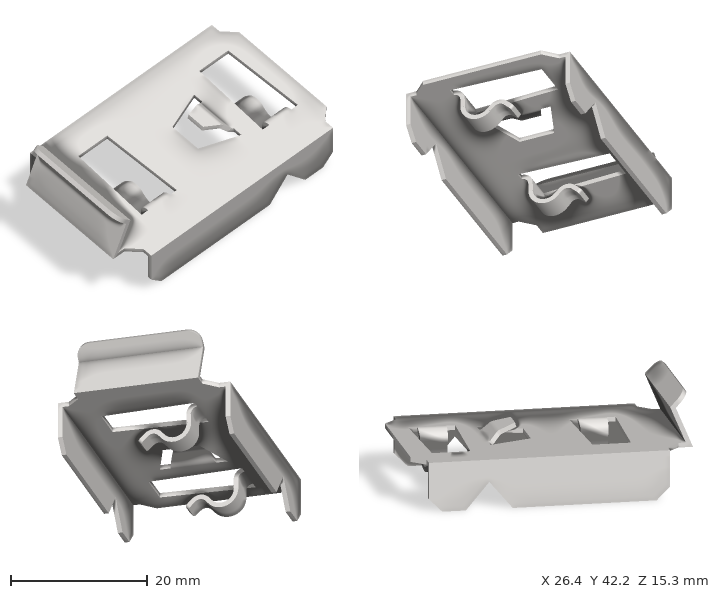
import cadquery as cq
import math


thickness = 0.7

overall_length = 42.2
plate_width = 26.4
leg_length = 36.0
leg_height = 7.5
leg_chamfer = 2.0
notch_y = 9.0
notch_half_width = 3.5
notch_depth = 4.15

tab_width = 19.0
tab_taper = 2.0
back_tab_length = 2.03
front_tab_length = overall_length - leg_length - back_tab_length

lip_wall_angle = 67
lip_wall_length = 6.6
lip_flare_angle = 46
lip_flare_length = 2.75
lip_corner_radius = 2.0

finger_positions = (13.65, -10.35)
window_left = -7.98
window_right = 6.5
window_left_height = 5.75
window_right_height = 6.95
finger_root_width = 4.35
finger_taper = 0.1
finger_tip_corner_radius = 0.42
finger_root_radius = 1.35
finger_contact_radius = 2.32
finger_tip_bend_radius = 1.48
finger_drop_length = 1.35
finger_link_length = 0.8
finger_tip_length = 1.45
finger_root_turn = 90
finger_contact_turn = 137
finger_tip_turn = 90

latch_root_y = 7.18
latch_window_length = 6.45
latch_window_root_width = 10.3
latch_window_tip_width = 5.57
latch_root_width = 6.95
latch_taper = 0.74
latch_bend_radius = 0.85
latch_rise_length = 1.45
latch_tip_length = 2.57
latch_rise_turn = 46
latch_tip_turn = 30


def bend(radius, turn):
    """Bend piece of a strip, from its mid-thickness radius and turn."""
    return radius * math.radians(abs(turn)), turn


finger_pieces = [
    bend(finger_root_radius, -finger_root_turn),
    (finger_drop_length, 0),
    bend(finger_contact_radius, finger_contact_turn),
    (finger_link_length, 0),
    bend(finger_tip_bend_radius, -finger_tip_turn),
    (finger_tip_length, 0),
]
latch_pieces = [
    bend(latch_bend_radius, latch_rise_turn),
    (latch_rise_length, 0),
    bend(latch_bend_radius, -latch_tip_turn),
    (latch_tip_length, 0),
]


def piece_point(length, turn, fraction, offset):
    """X, Z of a point partway along a piece that starts at the origin along +X.

    `offset` is the height above the mid-thickness line.
    """
    if turn == 0:
        return length * fraction, offset
    radius = length / math.radians(turn)
    angle = math.radians(turn * fraction)
    return (radius - offset) * math.sin(angle), radius - (radius - offset) * math.cos(angle)


def strip_piece(length, turn, start_width, end_width):
    """Straight or bent piece of a strip, tapered evenly along its chord."""
    half = thickness / 2

    def side(offset, fractions):
        return [piece_point(length, turn, fraction, offset) for fraction in fractions]

    top_start, top_middle, top_end = side(half, (0, 0.5, 1))
    bottom_end, bottom_middle, bottom_start = side(-half, (1, 0.5, 0))
    section = cq.Workplane("XZ").moveTo(*top_start)
    if turn == 0:
        section = section.lineTo(*top_end).lineTo(*bottom_end).lineTo(*bottom_start)
    else:
        section = section.threePointArc(top_middle, top_end)
        section = section.lineTo(*bottom_end).threePointArc(bottom_middle, bottom_start)
    body = section.close().extrude(start_width, both=True)

    chord = math.hypot(*piece_point(length, turn, 1, 0))
    widening = (start_width - end_width) / chord * thickness
    half_start = (start_width + widening) / 2
    half_end = (end_width - widening) / 2
    outline = [
        (-thickness, -half_start),
        (chord + thickness, -half_end),
        (chord + thickness, half_end),
        (-thickness, half_start),
    ]
    trim = cq.Workplane("XY").polyline(outline).close().extrude(chord, both=True)
    return body.intersect(trim.rotate((0, 0, 0), (0, 1, 0), -turn / 2))


def bent_strip(root_width, taper, pieces):
    """Strip leaving the origin along +X at mid thickness, as a list of pieces.

    The width shrinks by `taper` per unit of unrolled length.
    """
    solids = []
    x, z, heading, width = 0, 0, 0, root_width
    for length, turn in pieces:
        end_width = width - taper * length
        solid = strip_piece(length, turn, width, end_width)
        solids.append(solid.rotate((0, 0, 0), (0, 1, 0), -heading).translate((x, 0, z)))
        forward, rise = piece_point(length, turn, 1, 0)
        slope = math.radians(heading)
        x += forward * math.cos(slope) - rise * math.sin(slope)
        z += forward * math.sin(slope) + rise * math.cos(slope)
        heading += turn
        width = end_width
    return solids


def joined(solids):
    """Union of a list of solids."""
    whole = solids[0]
    for solid in solids[1:]:
        whole = whole.union(solid)
    return whole


def make_plate():
    half_leg = leg_length / 2
    half_plate = plate_width / 2
    half_tab = tab_width / 2
    shoulder = half_tab + tab_taper
    back = half_leg + back_tab_length
    right_side = [
        (half_tab, -half_leg - tab_taper),
        (shoulder, -half_leg),
        (half_plate, -half_leg),
        (half_plate, half_leg),
        (shoulder, half_leg),
        (half_tab, back),
    ]
    left_side = [(-x, y) for x, y in reversed(right_side)]
    return cq.Workplane("XY").polyline(right_side + left_side).close().extrude(-thickness)


def make_legs():
    half_leg = leg_length / 2
    outline = [
        (-half_leg, 0),
        (-half_leg, leg_chamfer - leg_height),
        (leg_chamfer - half_leg, -leg_height),
        (notch_y - notch_half_width, -leg_height),
        (notch_y, notch_depth - leg_height),
        (notch_y + notch_half_width, -leg_height),
        (half_leg - leg_chamfer, -leg_height),
        (half_leg, leg_chamfer - leg_height),
        (half_leg, 0),
    ]
    leg = cq.Workplane("YZ", origin=(plate_width / 2, 0, 0)).polyline(outline).close().extrude(-thickness)
    return leg.union(leg.mirror("YZ"))


def step(length, angle):
    """Components of a length along and across the axis its angle is measured from."""
    slope = math.radians(angle)
    return length * math.cos(slope), length * math.sin(slope)


def make_lip():
    """Front tab end with a wall leaning back over the plate and a flared free edge."""
    tab_end = -leg_length / 2 - front_tab_length
    wall_y, wall_z = step(lip_wall_length, lip_wall_angle)
    flare_y, flare_z = step(lip_flare_length, lip_flare_angle)
    root = (tab_end, -thickness)
    crest = (tab_end + wall_y, wall_z - thickness)
    edge = (crest[0] - flare_y, crest[1] + flare_z)

    root_setback = thickness / math.tan(math.radians(lip_wall_angle / 2))
    crest_miter = thickness / math.sin(math.radians((lip_wall_angle + lip_flare_angle) / 2))
    miter_y, miter_z = step(crest_miter, (lip_wall_angle - lip_flare_angle) / 2)
    edge_y, edge_z = step(thickness, 90 - lip_flare_angle)
    back_root = (tab_end + root_setback, 0)
    back_crest = (crest[0] + miter_y, crest[1] + miter_z)
    back_edge = (edge[0] + edge_y, edge[1] + edge_z)

    tab_root = -leg_length / 2 - tab_taper
    front_face = [(tab_root, -thickness), root, crest, edge]
    back_face = [back_edge, back_crest, back_root, (tab_root, 0)]
    lip = cq.Workplane("YZ").polyline(front_face + back_face).close().extrude(tab_width / 2, both=True)
    return lip.faces(">Z").edges("not |X").fillet(lip_corner_radius)


def make_finger_window(y):
    outline = [
        (window_left, y - window_left_height / 2),
        (window_right, y - window_right_height / 2),
        (window_right, y + window_right_height / 2),
        (window_left, y + window_left_height / 2),
    ]
    return cq.Workplane("XY").polyline(outline).close().extrude(-thickness)


def make_finger(y):
    """Finger running towards -X from the wide end of its window."""
    pieces = bent_strip(finger_root_width, finger_taper, finger_pieces)
    tip_corners = pieces[-1].faces("<Z").edges(cq.selectors.LengthNthSelector(0))
    pieces[-1] = tip_corners.fillet(finger_tip_corner_radius)
    finger = joined(pieces)
    return finger.rotate((0, 0, 0), (0, 0, 1), 180).translate((window_right, y, -thickness / 2))


def make_latch_window():
    latch_tip_y = latch_root_y - latch_window_length
    outline = [
        (-latch_window_root_width / 2, latch_root_y),
        (-latch_window_tip_width / 2, latch_tip_y),
        (latch_window_tip_width / 2, latch_tip_y),
        (latch_window_root_width / 2, latch_root_y),
    ]
    return cq.Workplane("XY").polyline(outline).close().extrude(-thickness)


def make_latch():
    """Tongue running towards -Y from the wide end of its window."""
    latch = joined(bent_strip(latch_root_width, latch_taper, latch_pieces))
    return latch.rotate((0, 0, 0), (0, 0, 1), -90).translate((0, latch_root_y, -thickness / 2))


plate = make_plate().cut(make_latch_window())
for finger_y in finger_positions:
    plate = plate.cut(make_finger_window(finger_y))
fingers = [make_finger(finger_y) for finger_y in finger_positions]
result = joined([plate, make_legs(), make_lip(), make_latch()] + fingers)